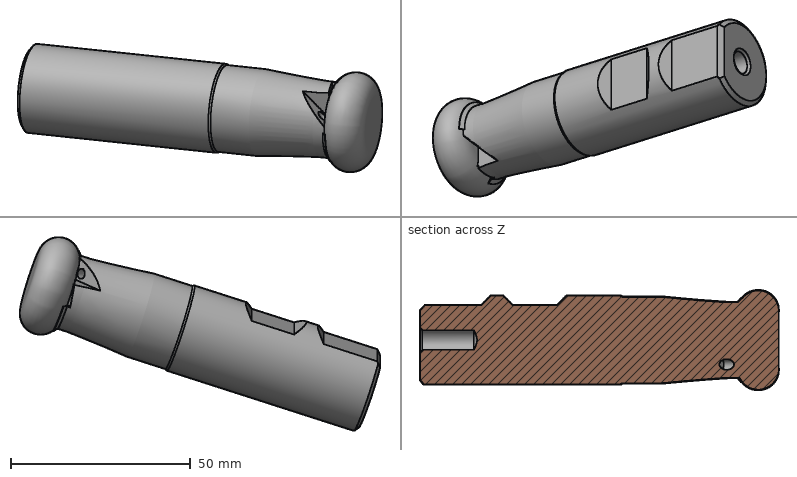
import cadquery as cq
import math

total_length = 100.0
shank_radius = 12.5
end_chamfer_length = 1.0
end_face_radius = 11.2
shank_end = 55.8
neck_radius = 12.2
shoulder_end = shank_end + 0.6
taper_start = 67.5
taper_end = 85.6
throat_radius = 10.7
taper_sag = 0.1
taper_middle = (taper_start + taper_end) / 2
taper_middle_radius = (neck_radius + throat_radius) / 2 - taper_sag

head_radius = 14.0
head_round = 5.8
head_round_center = total_length - head_round
head_core_radius = head_radius - head_round
head_back = total_length - 2 * head_round

flare_start = 88.5
flare_end = 89.5
flare_radius = 11.8
seat_edge = 1.8
gap_start = 87.6
gap_floor = 9.0

flat_height = 9.8
flat_depth = shank_radius - flat_height
rear_flat_end = 17.1
front_flat_start = 25.8
front_flat_end = 38.2
flat_lead_length = 1.4
flat_lead_height = 8.3

hole_radius = 3.2
hole_mouth_radius = 3.9
hole_depth = 15.0
drill_tip_angle = 118.0

pocket_start = 81.0
pocket_top = 9.8
pocket_wall_start = -5.2
pocket_wall_end = -4.5
coolant_diameter = 2.8
coolant_depth = 5.0
coolant_x = 87.2
coolant_y = -6.8

clearance = 1.0


def revolve_about_x(profile):
    return profile.close().revolve(360, (0, 0, 0), (1, 0, 0))


def make_body():
    return revolve_about_x(
        cq.Workplane("XY")
        .lineTo(0, end_face_radius)
        .lineTo(end_chamfer_length, shank_radius)
        .lineTo(shank_end, shank_radius)
        .lineTo(shoulder_end, neck_radius)
        .lineTo(taper_start, neck_radius)
        .threePointArc((taper_middle, taper_middle_radius), (taper_end, throat_radius))
        .lineTo(head_round_center, throat_radius)
        .lineTo(head_round_center, 0)
    )


def make_head():
    """Disc with a fully round rim."""
    return revolve_about_x(
        cq.Workplane("XY")
        .moveTo(head_back, 0)
        .lineTo(head_back, head_core_radius)
        .threePointArc((head_round_center, head_radius), (total_length, head_core_radius))
        .lineTo(total_length, 0)
    )


def make_flare():
    """Collar on the upper +Y quarter, widening from the neck to the head."""
    cone = revolve_about_x(
        cq.Workplane("XY")
        .moveTo(flare_start, 0)
        .lineTo(flare_start, throat_radius)
        .lineTo(flare_end, flare_radius)
        .lineTo(head_round_center, flare_radius)
        .lineTo(head_round_center, 0)
    )
    quarter = cq.Workplane("XY").box(
        total_length, head_radius, head_radius, centered=False
    ).translate((0, seat_edge, 0))
    return cone.intersect(quarter)


def make_gap():
    """Sliver between the slanted end of the neck and the back of the head."""
    return (
        cq.Workplane("XY", origin=(0, 0, gap_floor))
        .polyline([
            (gap_start, seat_edge),
            (head_round_center, seat_edge),
            (head_round_center, pocket_wall_end),
            (head_back, pocket_wall_end),
        ])
        .close()
        .extrude(head_radius - gap_floor)
    )


def half_turn(shape):
    return shape.rotate((0, 0, 0), (1, 0, 0), 180)


def make_flat_cutter():
    """Outlines in the XY plane, cut through the whole part along Z."""
    top = shank_radius + clearance
    ramp = flat_depth + clearance
    rear = [
        (-clearance, top),
        (-clearance, flat_lead_height),
        (0, flat_lead_height),
        (flat_lead_length, flat_height),
        (rear_flat_end, flat_height),
        (rear_flat_end + ramp, top),
    ]
    front = [
        (front_flat_start - ramp, top),
        (front_flat_start, flat_height),
        (front_flat_end, flat_height),
        (front_flat_end + ramp, top),
    ]
    rear_cutter, front_cutter = [
        cq.Workplane("XY").polyline(outline).close().extrude(shank_radius, both=True)
        for outline in (rear, front)
    ]
    return rear_cutter.union(front_cutter)


def make_center_hole():
    tip_length = hole_radius / math.tan(math.radians(drill_tip_angle / 2))
    return revolve_about_x(
        cq.Workplane("XY")
        .lineTo(0, hole_mouth_radius)
        .lineTo(hole_mouth_radius - hole_radius, hole_radius)
        .lineTo(hole_depth, hole_radius)
        .lineTo(hole_depth + tip_length, 0)
    )


def make_pocket():
    """Notch with a 45 degree floor, a slightly slanted side wall and a hole in the floor."""
    start = pocket_start - (shank_radius - pocket_top)
    end = head_round_center
    floor_end = pocket_top - (end - pocket_start)
    wedge = (
        cq.Workplane("XZ")
        .polyline([(start, shank_radius), (end, shank_radius), (end, floor_end)])
        .close()
        .extrude(shank_radius)
    )
    wall_slope = (pocket_wall_end - pocket_wall_start) / (head_back - pocket_start)
    plan = (
        cq.Workplane("XY")
        .polyline([
            (start, -shank_radius),
            (end, -shank_radius),
            (end, pocket_wall_start + wall_slope * (end - pocket_start)),
            (start, pocket_wall_start + wall_slope * (start - pocket_start)),
        ])
        .close()
        .extrude(shank_radius, both=True)
    )
    coolant_z = pocket_top - (coolant_x - pocket_start)
    coolant_hole = cq.Workplane(cq.Solid.makeCylinder(
        coolant_diameter / 2,
        coolant_depth,
        cq.Vector(coolant_x, coolant_y, coolant_z),
        cq.Vector(-1, 0, -1),
    ))
    return wedge.intersect(plan).union(coolant_hole)


end_cut = make_pocket().union(make_gap())
flare = make_flare()
body = make_body().cut(make_flat_cutter()).cut(make_center_hole())
body = body.cut(end_cut).cut(half_turn(end_cut))
body = body.union(flare).union(half_turn(flare))
result = body.union(make_head())